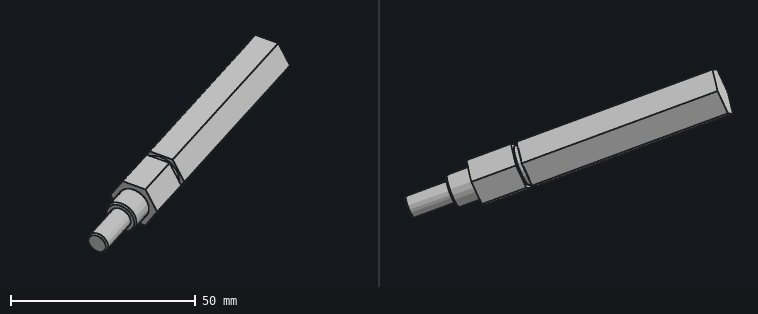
import cadquery as cq

total_length = 92.35
across_flats = 12.7
handle_length = 57.6
groove_width = 1.7
groove_diameter = 11.45
groove_chamfer = 0.3
collar_length = 13.1
shoulder_length = 7.2
shoulder_diameter = 9.5
shoulder_chamfer = 0.5
pin_diameter = 6.4
pin_chamfer = 0.5

hexagon_sides = 6
across_corners = across_flats / (3**0.5 / 2)

handle_end = total_length / 2
handle_start = handle_end - handle_length
collar_end = handle_start - groove_width
collar_start = collar_end - collar_length
shoulder_start = collar_start - shoulder_length
tip = -total_length / 2


def section_plane(y):
    """Plane across the part at y, extruding toward -Y."""
    return cq.Workplane("XZ", origin=(0, y, 0))


def hexagon(start, end):
    """Hexagonal bar with corners on the X axis and flats at top and bottom."""
    return section_plane(end).polygon(hexagon_sides, across_corners).extrude(end - start)


def cylinder(start, end, diameter):
    return section_plane(end).circle(diameter / 2).extrude(end - start)


handle = hexagon(handle_start, handle_end)
groove = cylinder(collar_end, handle_start, groove_diameter)
groove = groove.faces("<Y").chamfer(groove_chamfer)
collar = hexagon(collar_start, collar_end)
shoulder = cylinder(shoulder_start, collar_start, shoulder_diameter)
shoulder = shoulder.faces("<Y").chamfer(shoulder_chamfer)
pin = cylinder(tip, shoulder_start, pin_diameter)
pin = pin.faces("<Y").chamfer(pin_chamfer)

result = handle.union(groove).union(collar).union(shoulder).union(pin)